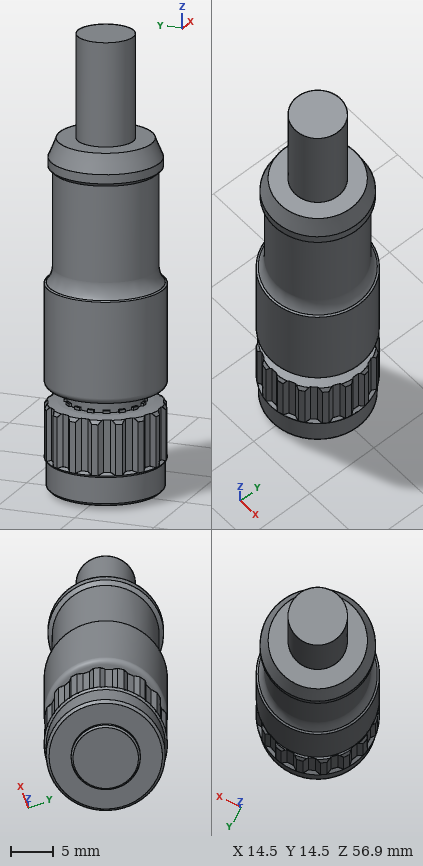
import cadquery as cq
import math

TOTAL_LENGTH = 56.9
COLLAR_TOP = 44.0
COLLAR_SHOULDER = 41.65
COLLAR_BOTTOM = 40.5
GRIP_TOP = 40.05
FLARE_TOP = 28.05
FLARE_BOTTOM = 26.1
BODY_TOP = 26.0
BODY_BOTTOM = 14.0
BODY_CORNER = 13.35
NECK_TOP = 13.0
LUG_TOP = 11.8
NUT_TOP = 11.45
NUT_BEVEL_TOP = 11.25
NUT_BEVEL_BOTTOM = 10.8
GROOVE_BOTTOM = 4.8
FLANGE_EDGE = 4.5
SLEEVE_TOP = 4.2
SLEEVE_BOTTOM = 0.6
EDGE_CHAMFER = 0.35
INSERT_CHAMFER = 0.2

CABLE_DIAMETER = 7.0
COLLAR_TOP_DIAMETER = 11.65
COLLAR_DIAMETER = 13.6
GRIP_DIAMETER = 12.6
FLARE_DIAMETER = 14.0
BODY_DIAMETER = 14.5
NECK_DIAMETER = 9.2
LUG_DIAMETER = 9.8
NUT_TOP_DIAMETER = 11.4
NUT_BEVEL_DIAMETER = 13.9
NUT_DIAMETER = 14.5
GROOVE_FLOOR_DIAMETER = 13.6
SLEEVE_DIAMETER = 14.0
INSERT_DIAMETER = 8.15

GROOVE_COUNT = 16
LUG_WIDTH = 0.8
GROOVE_FLOOR_WIDTH = 0.85
GROOVE_MOUTH_WIDTH = 2.3
CUT_MARGIN = 0.55


def turned(*points):
    """Solid of revolution about Z from (radius, height) points listed bottom to top."""
    outline = cq.Workplane("XZ").moveTo(0, points[0][1])
    for radius, height in points:
        outline = outline.lineTo(radius, height)
    outline = outline.lineTo(0, points[-1][1]).close()
    return outline.revolve(360, (0, 0, 0), (0, 1, 0))


def make_cable():
    radius = CABLE_DIAMETER / 2
    return turned((radius, COLLAR_TOP), (radius, TOTAL_LENGTH))


def make_body():
    """Moulded body: rounded bottom cone, barrel, concave flare, straight grip and top collar."""
    grip_radius = GRIP_DIAMETER / 2
    flare_rise = FLARE_TOP - FLARE_BOTTOM
    flare_run = FLARE_DIAMETER / 2 - grip_radius
    flare_radius = (flare_rise**2 + flare_run**2) / (2 * flare_run)
    mid_rise = flare_rise / 2
    mid_run = flare_radius - math.sqrt(flare_radius**2 - mid_rise**2)
    body_radius = BODY_DIAMETER / 2
    cone_angle = math.atan2(BODY_CORNER - NECK_TOP, body_radius - NECK_DIAMETER / 2)
    round_size = BODY_BOTTOM - BODY_CORNER
    round_start = (
        body_radius - round_size * math.cos(cone_angle),
        BODY_CORNER - round_size * math.sin(cone_angle),
    )
    outline = (
        cq.Workplane("XZ")
        .moveTo(0, NECK_TOP)
        .lineTo(NECK_DIAMETER / 2, NECK_TOP)
        .lineTo(*round_start)
        .tangentArcPoint((body_radius, BODY_BOTTOM), relative=False)
        .lineTo(body_radius, BODY_TOP)
        .lineTo(FLARE_DIAMETER / 2, FLARE_BOTTOM)
        .threePointArc((grip_radius + mid_run, FLARE_TOP - mid_rise), (grip_radius, FLARE_TOP))
        .lineTo(grip_radius, GRIP_TOP)
        .lineTo(COLLAR_DIAMETER / 2, COLLAR_BOTTOM)
        .lineTo(COLLAR_DIAMETER / 2, COLLAR_SHOULDER)
        .lineTo(COLLAR_TOP_DIAMETER / 2, COLLAR_TOP)
        .lineTo(0, COLLAR_TOP)
        .close()
    )
    return outline.revolve(360, (0, 0, 0), (0, 1, 0))


def ring_of_copies(shape):
    """Copies of a shape turned about Z to every groove position."""
    copies = cq.Workplane("XY")
    for index in range(GROOVE_COUNT):
        copies = copies.add(shape.rotate((0, 0, 0), (0, 0, 1), index * 360 / GROOVE_COUNT))
    return copies.combine()


def make_neck():
    """Neck between body and nut, with a ring of small lugs standing on the nut."""
    neck = turned((NECK_DIAMETER / 2, NUT_TOP), (NECK_DIAMETER / 2, NECK_TOP))
    lug = (
        cq.Workplane("XY", origin=(0, 0, NUT_TOP))
        .rect(LUG_DIAMETER, LUG_WIDTH)
        .extrude(LUG_TOP - NUT_TOP)
    )
    return neck.union(ring_of_copies(lug))


def make_nut_blank():
    """Coupling nut before grooving, with the plain sleeve below its flange."""
    sleeve_radius = SLEEVE_DIAMETER / 2
    return turned(
        (sleeve_radius - EDGE_CHAMFER, SLEEVE_BOTTOM),
        (sleeve_radius, SLEEVE_BOTTOM + EDGE_CHAMFER),
        (sleeve_radius, SLEEVE_TOP),
        (NUT_DIAMETER / 2, FLANGE_EDGE),
        (NUT_DIAMETER / 2, NUT_BEVEL_BOTTOM),
        (NUT_BEVEL_DIAMETER / 2, NUT_BEVEL_TOP),
        (NUT_TOP_DIAMETER / 2, NUT_TOP),
    )


def make_groove_cutters():
    """Trapezoidal grooves whose lower ends ramp out to the flange edge."""
    floor = GROOVE_FLOOR_DIAMETER / 2
    rim = NUT_DIAMETER / 2
    slope = (GROOVE_MOUTH_WIDTH - GROOVE_FLOOR_WIDTH) / 2 / (rim - floor)
    outside = rim + CUT_MARGIN
    half_floor = GROOVE_FLOOR_WIDTH / 2
    half_outside = half_floor + slope * (outside - floor)
    groove = (
        cq.Workplane("XY", origin=(0, 0, SLEEVE_TOP))
        .polyline([
            (floor, -half_floor),
            (outside, -half_outside),
            (outside, half_outside),
            (floor, half_floor),
        ])
        .close()
        .extrude(NUT_TOP - SLEEVE_TOP)
    )
    ramp = turned(
        (outside, SLEEVE_TOP),
        (rim, FLANGE_EDGE),
        (floor, GROOVE_BOTTOM),
    )
    return ring_of_copies(groove).cut(ramp)


def make_insert():
    """Contact insert standing out of the mating end, chamfered at its tip."""
    radius = INSERT_DIAMETER / 2
    return turned(
        (radius - INSERT_CHAMFER, 0),
        (radius, INSERT_CHAMFER),
        (radius, SLEEVE_BOTTOM),
    )


nut = make_nut_blank().cut(make_groove_cutters())
result = make_body().union(make_cable()).union(make_neck()).union(nut).union(make_insert())